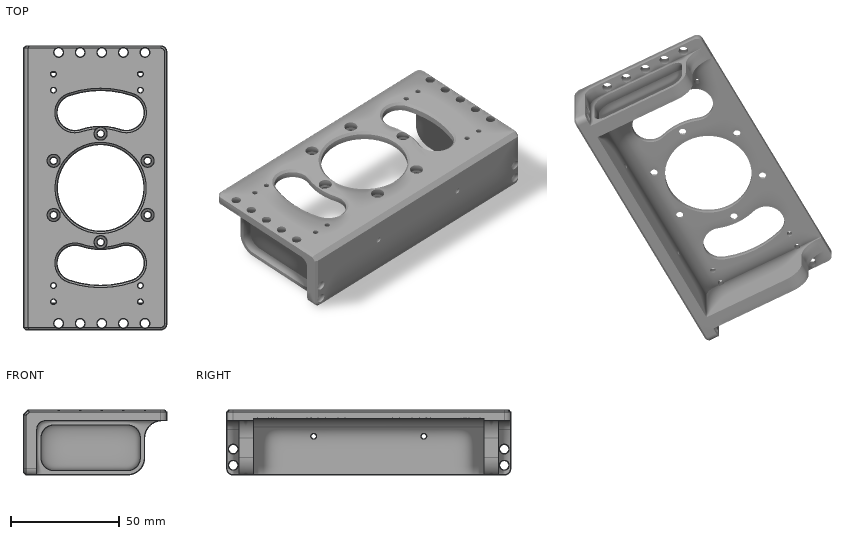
import cadquery as cq
import math

WIDTH = 66.0
LENGTH = 131.0
HEIGHT = 30.0
PLATE_THICKNESS = 5.0
UNDERSIDE_RELIEF = 1.0
WALL_THICKNESS = 6.0
INNER_FILLET = 4.0
CORNER_RADIUS = 2.9
EDGE_CHAMFER = 1.0
TOP_WALL_CHAMFER = 2.1

PANEL_INSET = 5.6
PANEL_THICKNESS = 6.7
PANEL_END_X = 55.8
PANEL_RADIUS = 8.0
POCKET_RIM = 2.0
POCKET_DEPTH = 4.3
POCKET_RADIUS = PANEL_RADIUS - POCKET_RIM

BORE_X = 35.5
BORE_DIAMETER = 40.0
OPENING_CHAMFER = 1.0
SLOT_PATH_RADIUS = 36.7
SLOT_HALF_WIDTH = 8.3
SLOT_HALF_ANGLE = 18.8
SCREW_CIRCLE_RADIUS = 25.0
SCREW_COUNT = 6
SCREW_DIAMETER = 3.3
COUNTERBORE_DIAMETER = 6.0
COUNTERBORE_DEPTH = 3.0

MOUNT_DIAMETER = 4.3
MOUNT_INSET = 3.0
MOUNT_Y = LENGTH / 2 - MOUNT_INSET
PLATE_MOUNT_FIRST_X = 16.1
PLATE_MOUNT_PITCH = 10.0
PLATE_MOUNT_COUNT = 5
WALL_MOUNT_HEIGHTS = (4.5, 11.9)

PIN_DIAMETER = 2.5
PLATE_PIN_FIRST_X = 13.8
PLATE_PIN_SPACING = 40.1
PLATE_PIN_YS = (45.0, 52.5)
WALL_PIN_Y = 25.4
WALL_PIN_HEIGHT = 17.8

PLATE_BOTTOM = HEIGHT - PLATE_THICKNESS


def block(x_range, y_range, z_range):
    """Axis-aligned box given by its limits."""
    size = [high - low for low, high in (x_range, y_range, z_range)]
    return cq.Workplane("XY").box(*size, centered=False).translate((x_range[0], y_range[0], z_range[0]))


def make_angle():
    """Wall and plate with rounded corners, inner fillet and edge chamfers."""
    y_range = (-LENGTH / 2, LENGTH / 2)
    body = block((0, WIDTH), y_range, (0, HEIGHT))
    body = body.cut(block((WALL_THICKNESS, WIDTH), y_range, (0, PLATE_BOTTOM)))
    inner_corner = cq.selectors.NearestToPointSelector((WALL_THICKNESS, 0, PLATE_BOTTOM))
    body = body.edges(inner_corner).fillet(INNER_FILLET)
    body = body.edges("|Z and >X").fillet(CORNER_RADIUS)
    body = body.edges("|X and <Z").fillet(CORNER_RADIUS)
    body = body.edges("|Y and <X and >Z").chamfer(TOP_WALL_CHAMFER)
    top_rim = body.faces(">Z").edges("not (|Y and <X)")
    wall_rim = body.faces("<X").edges("not (|Y and >Z)")
    slope_face = cq.selectors.NearestToPointSelector((TOP_WALL_CHAMFER / 2, 0, HEIGHT - TOP_WALL_CHAMFER / 2))
    slope_ends = body.faces(slope_face).edges("not |Y")
    return body.newObject(top_rim.vals() + wall_rim.vals() + slope_ends.vals()).chamfer(EDGE_CHAMFER)


def make_panel():
    """Gusset panel at the -Y end, pocketed on its outer side."""
    outer_y = -LENGTH / 2 + PANEL_INSET
    inner_y = outer_y + PANEL_THICKNESS
    start_x = WALL_THICKNESS / 2
    top_z = PLATE_BOTTOM + PLATE_THICKNESS / 2
    flare_x = PANEL_END_X + PANEL_RADIUS
    arc_drop = PANEL_RADIUS * (1 - math.sqrt(0.5))
    panel = (
        cq.Workplane("XZ", origin=(0, inner_y, 0))
        .moveTo(start_x, 0)
        .lineTo(PANEL_END_X - PANEL_RADIUS, 0)
        .threePointArc((PANEL_END_X - arc_drop, arc_drop), (PANEL_END_X, PANEL_RADIUS))
        .lineTo(PANEL_END_X, PLATE_BOTTOM - PANEL_RADIUS)
        .threePointArc((PANEL_END_X + arc_drop, PLATE_BOTTOM - arc_drop), (flare_x, PLATE_BOTTOM))
        .lineTo(flare_x, top_z)
        .lineTo(start_x, top_z)
        .close()
        .extrude(PANEL_THICKNESS)
    )
    pocket = block(
        (WALL_THICKNESS + POCKET_RIM, PANEL_END_X - POCKET_RIM),
        (outer_y, outer_y + POCKET_DEPTH),
        (POCKET_RIM, PLATE_BOTTOM - POCKET_RIM),
    ).edges("|Y").fillet(POCKET_RADIUS)
    return panel.cut(pocket)


def cut_underside_relief(body):
    """Thin the plate between the panels, carrying the inner fillet up with it."""
    half_span = LENGTH / 2 - PANEL_INSET - PANEL_THICKNESS
    relief = block(
        (WALL_THICKNESS, WIDTH),
        (-half_span, half_span),
        (PLATE_BOTTOM - INNER_FILLET, PLATE_BOTTOM + UNDERSIDE_RELIEF),
    )
    return body.cut(relief.edges("|Y and <X and >Z").fillet(INNER_FILLET))


def polar(radius, degrees):
    """Point at a distance and direction from the bore axis."""
    angle = math.radians(degrees)
    return BORE_X + radius * math.cos(angle), radius * math.sin(angle)


def make_slot(direction):
    """Curved slot cutter concentric with the bore, centred on a direction in degrees."""
    start = direction - SLOT_HALF_ANGLE
    end = direction + SLOT_HALF_ANGLE
    outer = SLOT_PATH_RADIUS + SLOT_HALF_WIDTH
    inner = SLOT_PATH_RADIUS - SLOT_HALF_WIDTH

    def cap_tip(degrees, side):
        """Farthest point of the round cap at one end of the slot."""
        x, y = polar(SLOT_PATH_RADIUS, degrees)
        tangent = math.radians(degrees + side * 90)
        return x + SLOT_HALF_WIDTH * math.cos(tangent), y + SLOT_HALF_WIDTH * math.sin(tangent)

    return (
        cq.Workplane("XY", origin=(0, 0, PLATE_BOTTOM))
        .moveTo(*polar(outer, start))
        .threePointArc(polar(outer, direction), polar(outer, end))
        .threePointArc(cap_tip(end, 1), polar(inner, end))
        .threePointArc(polar(inner, direction), polar(inner, start))
        .threePointArc(cap_tip(start, -1), polar(outer, start))
        .close()
        .extrude(PLATE_THICKNESS)
    )


def cut_openings(body):
    """Bore and two curved slots through the plate, chamfered at the top face."""
    body = body.cut(drill_down([(BORE_X, 0)], BORE_DIAMETER, PLATE_THICKNESS))
    for direction in (-90, 90):
        body = body.cut(make_slot(direction))
    rim_edges = [edge for wire in body.faces(">Z").val().innerWires() for edge in wire.Edges()]
    return body.newObject(rim_edges).chamfer(OPENING_CHAMFER)


def drill_down(points, diameter, depth):
    """Round cutters sunk from the top face."""
    return cq.Workplane("XY", origin=(0, 0, HEIGHT)).pushPoints(points).circle(diameter / 2).extrude(-depth)


def drill_wall(points, diameter):
    """Round cutters through the wall at (y, z) points."""
    return cq.Workplane("YZ").pushPoints(points).circle(diameter / 2).extrude(WALL_THICKNESS)


def mirrored(xs, ys):
    """Every (x, y) together with its mirror image at -y."""
    return [(x, side * y) for x in xs for y in ys for side in (-1, 1)]


def cut_plate_holes(body):
    """Counterbored screw circle, edge mounting holes and pin holes in the plate."""
    screws = [polar(SCREW_CIRCLE_RADIUS, 90 + i * 360 / SCREW_COUNT) for i in range(SCREW_COUNT)]
    mount_xs = [PLATE_MOUNT_FIRST_X + i * PLATE_MOUNT_PITCH for i in range(PLATE_MOUNT_COUNT)]
    pin_xs = (PLATE_PIN_FIRST_X, PLATE_PIN_FIRST_X + PLATE_PIN_SPACING)
    body = body.cut(drill_down(screws, SCREW_DIAMETER, PLATE_THICKNESS))
    body = body.cut(drill_down(screws, COUNTERBORE_DIAMETER, COUNTERBORE_DEPTH))
    body = body.cut(drill_down(mirrored(mount_xs, [MOUNT_Y]), MOUNT_DIAMETER, PLATE_THICKNESS))
    return body.cut(drill_down(mirrored(pin_xs, PLATE_PIN_YS), PIN_DIAMETER, PLATE_THICKNESS))


def cut_wall_holes(body):
    """Mounting holes near the wall's ends and two pin holes."""
    mounts = [(side * MOUNT_Y, z) for side in (-1, 1) for z in WALL_MOUNT_HEIGHTS]
    pins = [(side * WALL_PIN_Y, WALL_PIN_HEIGHT) for side in (-1, 1)]
    body = body.cut(drill_wall(mounts, MOUNT_DIAMETER))
    return body.cut(drill_wall(pins, PIN_DIAMETER))


panel = make_panel()
result = make_angle().union(panel).union(panel.mirror("XZ"))
result = cut_underside_relief(result)
result = cut_openings(result)
result = cut_plate_holes(result)
result = cut_wall_holes(result)